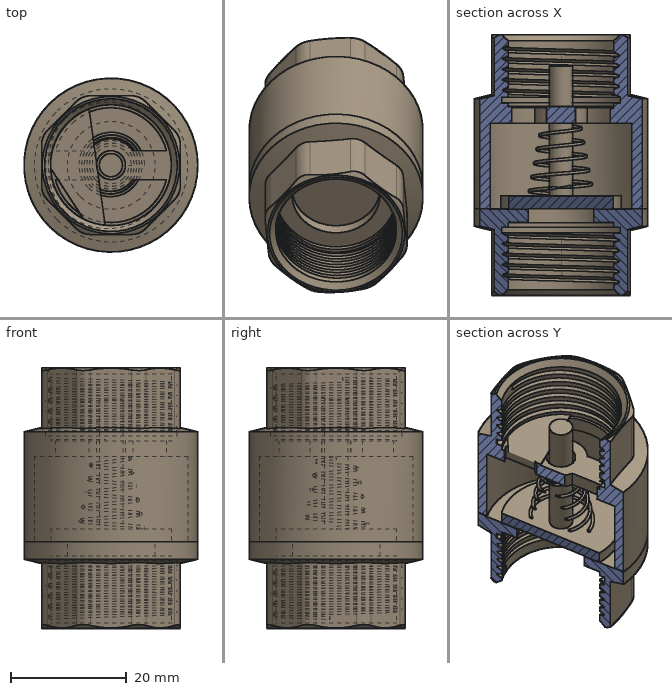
import cadquery as cq
import math

total_height = 45.0
body_diameter = 30.0
body_bottom_z = 11.95
body_top_z = 33.95
joint_z = 14.95
shoulder_slope = math.radians(14)

wrench_sides = 8
across_flats = 23.95
wrench_corner_radius = 3.45
end_face_diameter = 23.65
top_chamfer_angle = math.radians(30)
bottom_chamfer_angle = math.radians(40)

port_diameter = 20.85
port_mouth_diameter = 22.9
thread_pitch = 1.8
groove_depth = 0.9
groove_width = thread_pitch / 2
relief_top_depth = 10.8
relief_floor_depth = 11.75
relief_diameter = 22.75
thread_start_depth = 11.35
thread_end_depth = 2.05
thread_start_angle = 120.0
port_depth = 12.6

guide_opening_diameter = 19.8
hub_diameter = 9.1
hub_hole_diameter = 5.0
arm_width = 5.05
guide_thickness = 2.7
ledge_z = total_height - port_depth
guide_bottom_z = ledge_z - guide_thickness
chamber_diameter = 26.45

plate_thickness = 0.22
plate_right_chord = (111.2, 264.5)
plate_left_chord = (183.0, 243.0)

stem_diameter = 4.0
stem_top_z = 39.55
disc_diameter = 20.9
disc_thickness = 2.25
seat_diameter = 15.15
spring_base_radius = 5.55
spring_wire_diameter = 0.5
spring_turns = 5
spring_step_per_turn = 0.45

disc_top_z = joint_z + disc_thickness


def cylinder(diameter, bottom_z, top_z):
    """Solid cylinder on the valve axis."""
    return cq.Workplane("XY").workplane(offset=bottom_z).circle(diameter / 2).extrude(top_z - bottom_z)


def revolve_profile(points):
    """Solid of revolution about Z from (radius, z) points."""
    return cq.Workplane("XZ").polyline(points).close().revolve(360, (0, 0, 0), (0, 1, 0))


def wrench_octagon(bottom_z, top_z):
    """Octagonal prism with rounded corners and flats square to X and Y."""
    across_corners = across_flats / math.cos(math.pi / wrench_sides)
    return (
        cq.Workplane("XY")
        .workplane(offset=bottom_z)
        .transformed(rotate=(0, 0, 180 / wrench_sides))
        .polygon(wrench_sides, across_corners)
        .extrude(top_z - bottom_z)
        .edges("|Z")
        .fillet(wrench_corner_radius)
    )


def outer_envelope():
    """Cone-ended cylinder that bevels the octagon corners at both end faces."""
    face_radius = end_face_diameter / 2
    radius = body_diameter / 2
    top_drop = (radius - face_radius) * math.tan(top_chamfer_angle)
    bottom_rise = (radius - face_radius) * math.tan(bottom_chamfer_angle)
    return revolve_profile([
        (0, 0),
        (face_radius, 0),
        (radius, bottom_rise),
        (radius, total_height - top_drop),
        (face_radius, total_height),
        (0, total_height),
    ])


def barrel():
    """Round middle of the valve, with cones that run to the axis inside the octagons."""
    radius = body_diameter / 2
    shoulder_height = radius * math.tan(shoulder_slope)
    return revolve_profile([
        (0, body_bottom_z - shoulder_height),
        (radius, body_bottom_z),
        (radius, body_top_z),
        (0, body_top_z + shoulder_height),
    ])


def thread_groove():
    """Right-hand helical V groove cutting outward from the upper port wall."""
    overlap = 0.45
    bore_radius = port_diameter / 2
    inner_radius = bore_radius - overlap
    root_radius = bore_radius + groove_depth
    half_width = groove_width / 2 * (1 + overlap / groove_depth)
    helix = cq.Wire.makeHelix(thread_pitch, thread_start_depth - thread_end_depth, bore_radius)
    groove = (
        cq.Workplane("XZ")
        .polyline([(inner_radius, -half_width), (root_radius, 0), (inner_radius, half_width)])
        .close()
        .sweep(cq.Workplane(helix), isFrenet=True)
    )
    return groove.rotate((0, 0, 0), (0, 0, 1), thread_start_angle).translate(
        (0, 0, total_height - thread_start_depth)
    )


def port_mouth():
    """45 degree conical lead-in at the upper end face."""
    mouth_radius = port_mouth_diameter / 2
    return revolve_profile([
        (0, total_height - mouth_radius),
        (mouth_radius, total_height),
        (0, total_height),
    ])


def cut_port(body):
    """Cut the upper threaded port: bore, thread, relief groove and chamfered mouth."""
    bore = cylinder(port_diameter, ledge_z, total_height + thread_pitch)
    relief = cylinder(relief_diameter, total_height - relief_floor_depth, total_height - relief_top_depth)
    threaded_bore = bore.union(thread_groove()).union(relief)
    return body.cut(threaded_bore).cut(port_mouth())


def flip(body):
    """Turn a body end for end about the middle of the valve."""
    middle = total_height / 2
    return body.rotate((0, 0, middle), (1, 0, middle), 180)


def make_outer_shell():
    """Outside shape shared by the housing and the end cap."""
    return wrench_octagon(0, total_height).intersect(outer_envelope()).union(barrel())


def make_guide():
    """Hub on two arms that centres the plunger stem."""
    arms = (
        cq.Workplane("XY")
        .workplane(offset=guide_bottom_z)
        .rect(body_diameter, arm_width)
        .extrude(guide_thickness)
        .intersect(cylinder(port_diameter, guide_bottom_z, ledge_z))
    )
    hub = cylinder(hub_diameter, guide_bottom_z, ledge_z)
    return arms.union(hub).cut(cylinder(hub_hole_diameter, guide_bottom_z, ledge_z))


def make_segment_plate():
    """Thin plate between two chords of the port bore."""
    def on_bore(angle):
        radius = port_diameter / 2
        return (radius * math.cos(math.radians(angle)), radius * math.sin(math.radians(angle)))

    right_start, right_end = plate_right_chord
    left_start, left_end = plate_left_chord
    return (
        cq.Workplane("XY")
        .workplane(offset=ledge_z)
        .moveTo(*on_bore(right_start))
        .threePointArc(on_bore((right_start + left_start) / 2), on_bore(left_start))
        .lineTo(*on_bore(left_end))
        .threePointArc(on_bore((left_end + right_end) / 2), on_bore(right_end))
        .close()
        .extrude(plate_thickness)
    )


def make_housing():
    """Upper body with its threaded port, guide, segment plate and chamber."""
    body = make_outer_shell().intersect(cylinder(2 * body_diameter, joint_z, total_height))
    body = cut_port(body)
    body = body.cut(cylinder(guide_opening_diameter, guide_bottom_z, ledge_z))
    body = body.cut(cylinder(chamber_diameter, joint_z, guide_bottom_z))
    return body.union(make_guide()).union(make_segment_plate())


def make_cap():
    """Lower end cap with a threaded port and the valve seat opening."""
    body = make_outer_shell().intersect(cylinder(2 * body_diameter, 0, joint_z))
    body = flip(cut_port(flip(body)))
    return body.cut(cylinder(seat_diameter, 0, joint_z))


def make_plunger():
    """Sealing disc resting on the cap, with the guided stem."""
    disc = cylinder(disc_diameter, joint_z, disc_top_z)
    return disc.union(cylinder(stem_diameter, joint_z, stem_top_z))


def make_spring():
    """Conical round-wire spring, wide on the plunger disc and narrow under the guide hub."""
    wire_radius = spring_wire_diameter / 2
    coil_height = guide_bottom_z - disc_top_z - spring_wire_diameter
    taper = spring_turns * spring_step_per_turn
    slant_length = math.hypot(coil_height, taper)
    taper_angle = math.degrees(math.atan2(taper, coil_height))
    helix = cq.Wire.makeHelix(slant_length / spring_turns, slant_length, spring_base_radius, angle=-taper_angle)
    coil = (
        cq.Workplane("XZ")
        .center(spring_base_radius, 0)
        .circle(wire_radius)
        .sweep(cq.Workplane(helix), isFrenet=True)
    )
    return coil.translate((0, 0, disc_top_z + wire_radius))


housing = make_housing()
cap = make_cap()
plunger = make_plunger()
spring = make_spring()

result = cq.Compound.makeCompound([housing.val(), cap.val(), plunger.val(), spring.val()])